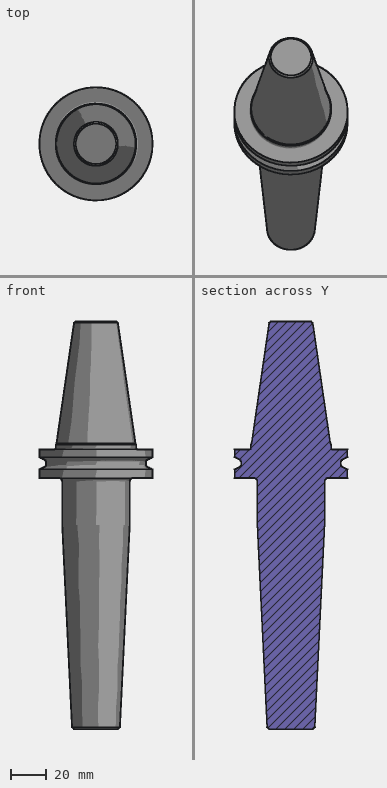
import cadquery as cq

total_length = 228.5
taper_length = 68.3
nose_z = taper_length - total_length

gauge_radius = 22.2
taper_slope = 7 / 48
tip_radius = gauge_radius - taper_slope * taper_length
tip_chamfer = 1.0

collar_radius = 22.5
collar_bevel_height = 1.0
collar_fillet = 1.0

flange_radius = 31.7
flange_top_z = -3.5
flange_thickness = 16.0
flange_bottom_z = flange_top_z - flange_thickness
groove_floor_radius = 28.0
groove_centre_z = flange_top_z - 7.8
groove_opening = 6.9
groove_floor_width = 3.2
groove_fillet = 1.0

body_radius = 19.0
body_fillet = 2.0
cylinder_length = 26.3
cone_start_z = flange_bottom_z - cylinder_length
nose_radius = 13.5
nose_chamfer = 1.4


def revolve_outline(outline):
    """Revolve a closed outline, drawn as (radius, z), around Z."""
    return outline.revolve(360, (0, 0, 0), (0, 1, 0))


def make_taper():
    outline = (
        cq.Workplane("XZ")
        .moveTo(0, flange_top_z)
        .lineTo(collar_radius + collar_fillet, flange_top_z)
        .radiusArc((collar_radius, flange_top_z + collar_fillet), collar_fillet)
        .lineTo(collar_radius, -collar_bevel_height)
        .lineTo(gauge_radius, 0)
        .lineTo(tip_radius + taper_slope * tip_chamfer, taper_length - tip_chamfer)
        .lineTo(tip_radius - tip_chamfer, taper_length)
        .lineTo(0, taper_length)
        .close()
    )
    return revolve_outline(outline)


def make_flange():
    outline = cq.Workplane("XZ").polyline([
        (0, flange_bottom_z),
        (flange_radius, flange_bottom_z),
        (flange_radius, groove_centre_z - groove_opening / 2),
        (groove_floor_radius, groove_centre_z - groove_floor_width / 2),
        (groove_floor_radius, groove_centre_z + groove_floor_width / 2),
        (flange_radius, groove_centre_z + groove_opening / 2),
        (flange_radius, flange_top_z),
        (0, flange_top_z),
    ]).close()
    floor_edges = cq.selectors.BoxSelector(
        (-flange_radius, -flange_radius, groove_centre_z - groove_floor_width),
        (flange_radius, flange_radius, groove_centre_z + groove_floor_width),
    )
    return revolve_outline(outline).edges(floor_edges).edges("%CIRCLE").fillet(groove_fillet)


def make_body():
    outline = (
        cq.Workplane("XZ")
        .moveTo(0, nose_z)
        .lineTo(nose_radius - nose_chamfer, nose_z)
        .lineTo(nose_radius, nose_z + nose_chamfer)
        .lineTo(body_radius, cone_start_z)
        .lineTo(body_radius, flange_bottom_z - body_fillet)
        .radiusArc((body_radius + body_fillet, flange_bottom_z), body_fillet)
        .lineTo(0, flange_bottom_z)
        .close()
    )
    return revolve_outline(outline)


result = make_taper().union(make_flange()).union(make_body())